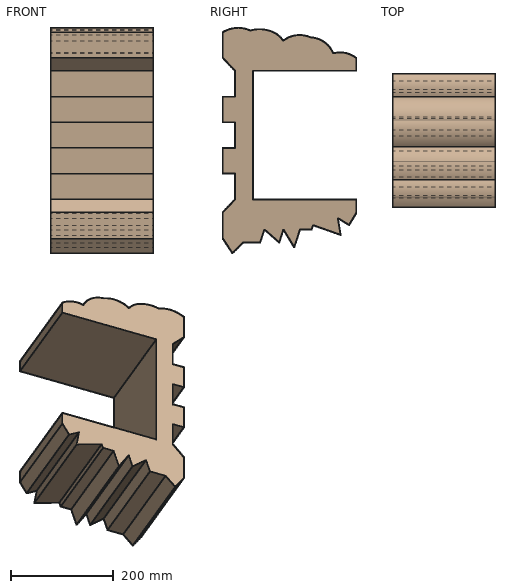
import cadquery as cq

width = 200.0
depth = 260.0
floor_z = 105.0
pitch = 50.0
ceiling_z = floor_z + 5 * pitch
groove_depth = 23.5
wall_thickness = 35.5
bevel_height = 25.0
wall_back_y = groove_depth + wall_thickness

front_bottom_z = 28.5
front_top_z = 430.5
back_bottom_z = 78.0
back_top_z = 380.0

underside = [
    (246.0, 55.0),
    (224.5, 68.0),
    (229.5, 35.5),
    (176.0, 54.5),
    (173.0, 46.0),
    (150.5, 46.0),
    (139.0, 11.5),
    (118.0, 46.0),
    (110.0, 20.5),
    (81.2, 46.0),
    (73.0, 20.5),
    (39.5, 20.5),
    (19.0, 0.0),
]

scallops = [
    ((10.5, 435.5), (20.0, 438.0)),
    ((33.0, 439.0), (53.5, 433.8)),
    ((70.0, 436.5), (89.5, 433.8)),
    ((106.0, 426.5), (117.5, 414.0)),
    ((146.5, 425.0), (171.0, 420.5)),
    ((193.5, 414.0), (215.0, 389.5)),
    ((238.5, 390.5), (depth, back_top_z)),
]


def front_lugs():
    """Front outline of the two lugs, from bottom to top."""
    points = []
    for first_pitch in (1, 3):
        lug_bottom = floor_z + first_pitch * pitch
        lug_top = lug_bottom + pitch
        points += [
            (groove_depth, lug_bottom),
            (0, lug_bottom),
            (0, lug_top),
            (groove_depth, lug_top),
        ]
    return points


def section():
    """Closed section of the part in the YZ plane."""
    straight_points = [
        (depth, floor_z),
        (depth, back_bottom_z),
        *underside,
        (0, front_bottom_z),
        (0, floor_z - bevel_height),
        (groove_depth, floor_z),
        *front_lugs(),
        (groove_depth, ceiling_z),
        (0, ceiling_z + bevel_height),
        (0, front_top_z),
    ]
    outline = cq.Workplane("YZ").moveTo(wall_back_y, floor_z)
    for y, z in straight_points:
        outline = outline.lineTo(y, z)
    for through, end in scallops:
        outline = outline.threePointArc(through, end)
    outline = outline.lineTo(depth, ceiling_z).lineTo(wall_back_y, ceiling_z)
    return outline.close()


result = section().extrude(width / 2, both=True)